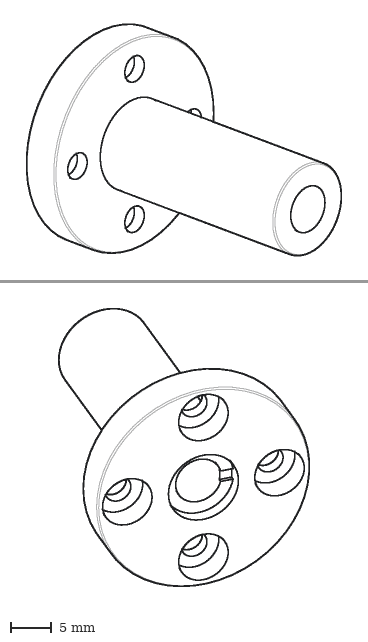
import cadquery as cq

total_length = 35.0
flange_diameter = 28.0
flange_thickness = 5.0
barrel_diameter = 12.0
edge_fillet = 0.2

bore_diameter = 6.0
recess_diameter = 9.2
recess_depth = 1.75
notch_width = 1.5
notch_depth = 0.5

mount_hole_count = 4
mount_circle_diameter = 20.0
mount_hole_diameter = 3.4
counterbore_diameter = 6.5
counterbore_depth = 3.3


def cylinder(diameter, start, length):
    """Cylinder on the X axis running from X = start."""
    return cq.Workplane("YZ", origin=(start, 0, 0)).circle(diameter / 2).extrude(length)


def make_body():
    """Flange with both rims rounded, joined to a barrel with a rounded free end."""
    flange = cylinder(flange_diameter, 0, flange_thickness).edges().fillet(edge_fillet)
    barrel = cylinder(barrel_diameter, 0, total_length).faces(">X").edges().fillet(edge_fillet)
    return flange.union(barrel)


def cut_bore(body):
    """Through bore with a wider recess at the flange end."""
    bore = cylinder(bore_diameter, 0, total_length)
    recess = cylinder(recess_diameter, 0, recess_depth)
    return body.cut(bore).cut(recess)


def cut_notch(body):
    """Radial notch on the -Y side of the recess floor, ending at the recess wall."""
    slot = cq.Workplane("XY").box(
        notch_depth, recess_diameter / 2, notch_width, centered=(False, False, True)
    )
    slot = slot.translate((recess_depth, -recess_diameter / 2, 0))
    limit = cylinder(recess_diameter, recess_depth, notch_depth)
    return body.cut(slot.intersect(limit))


def cut_mounting_holes(body):
    """Counterbored through holes evenly spaced around the flange."""
    hole = cylinder(mount_hole_diameter, 0, flange_thickness)
    hole = hole.union(cylinder(counterbore_diameter, 0, counterbore_depth))
    hole = hole.translate((0, 0, mount_circle_diameter / 2))
    for index in range(mount_hole_count):
        angle = index * 360 / mount_hole_count
        body = body.cut(hole.rotate((0, 0, 0), (1, 0, 0), angle))
    return body


result = make_body()
result = cut_bore(result)
result = cut_notch(result)
result = cut_mounting_holes(result)